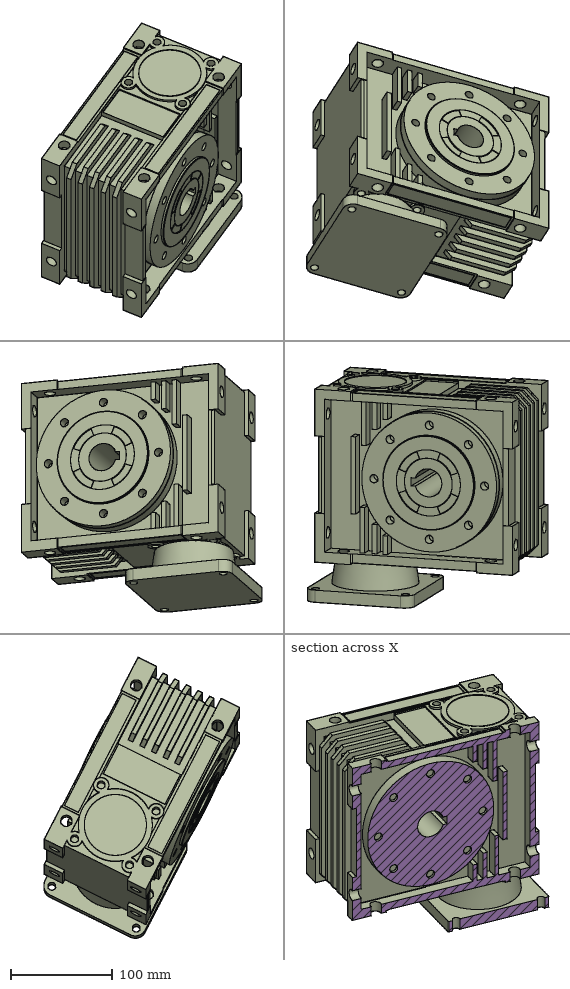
import cadquery as cq
import math


core_half_width = 35.6
core_front = -76.5
core_back = 115.3
core_low_bottom, core_low_top = -78.2, 76.5
core_high_bottom, core_high_top = -85.5, 83.5

rail_half_width = 55.5
rail_front, rail_back = -81.9, core_back
rail_bottom, rail_top = -86.8, 84.5
pocket_front, pocket_back = -76.0, 109.0
pocket_bottom, pocket_top = -77.5, 76.2
rail_panel_inner, rail_panel_outer = 38.5, 53.8
rail_panel_front, rail_panel_back = -46.7, 79.7
rail_panel_depth = 0.6
back_panel_front = 112.3
back_panel_half_height = 38.2
back_panel_depth = 0.2

pad_half_width = 56.2
pad_front, pad_back = -86.0, 119.2
pad_bottom, pad_top = -88.3, 86.0
pad_front_end, pad_back_end = -48.8, 82.0
pad_inner_z = 38.9
pad_step_bevel_front, pad_step_bevel_back = 0.9, 1.7
pad_hole_diameter = 11.2
pad_hole_x = 45.0
pad_hole_z = 59.8
pad_hole_ys = (-59.8, 92.9)

flange_radius = 70.0
flange_seat_radius = 69.5
flange_seam_x = 48.0
flange_face_x = 57.2
pilot_radius = 47.5
pilot_face_x = 60.0
pilot_chamfer = 0.6
bolt_circle_radius = 57.5
bolt_hole_diameter = 8.2
bolt_hole_depth = 13.0
bolt_count = 8

seal_outer_radius, seal_inner_radius = 33.3, 24.8
seal_depth = 0.2
seal_window_outer_radius, seal_window_inner_radius = 32.8, 25.3
seal_window_depth = 0.9
seal_window_span = 47.0
seal_window_angles = (45, 135, 225, 315)
bore_radius = 14.0
keyway_width = 8.2
keyway_reach = 17.7

rib_thickness = 4.8
centre_rib_y = 81.9
centre_rib_half_length = 38.9
upper_ribs = ((70.8, 30.7), (59.8, 47.5), (48.8, 58.3))
lower_ribs = ((72.5, -31.8), (59.8, -48.2), (48.8, -58.8))

fin_count = 5
fin_row_length = 51.5
fin_pitch = fin_row_length / (fin_count - 1)
fin_thickness = 5.0
fin_front = -85.3
fin_back = -9.0
fin_bottom, fin_top = -85.5, 83.5
fin_slope_length = 6.7
fin_chamfer = 11.7

input_y = 74.7
cover_radius = 36.5
cover_recess_radius = 30.7
cover_recess_depth = 0.9
ear_circle_radius = 42.5
ear_radius = 7.5
ear_hole_diameter = 7.8
ear_hole_depth = 8.6
ear_angle = 46.0
ear_count = 4
plate_half_width = 34.1
plate_back = 33.7
plate_depth = 1.5
cone_top_radius, cone_bottom_radius = 39.0, 43.0
motor_flange_top, motor_flange_bottom = -116.6, -129.0
motor_flange_size = 110.5
motor_flange_corner = 10.8
motor_hole_offset = 46.7
motor_hole_diameter = 7.8


def block(x0, x1, y0, y1, z0, z1):
    """Box between opposite corners, with each pair of limits in rising order."""
    return cq.Workplane("XY").box(x1 - x0, y1 - y0, z1 - z0, centered=False).translate((x0, y0, z0))


def disc_x(radius, x0, x1):
    """Cylinder on the output axis."""
    return cq.Workplane("YZ").workplane(offset=x0).circle(radius).extrude(x1 - x0)


def core():
    low = block(-core_half_width, core_half_width, core_front, core_back, core_low_bottom, core_low_top)
    high = block(-core_half_width, core_half_width, 0, core_back, core_high_bottom, core_high_top)
    plate = block(-plate_half_width, plate_half_width, 0, plate_back,
                  core_high_top - plate_depth, core_high_top)
    return low.union(high).cut(plate)


def fins():
    outline = [
        (fin_back, core_low_bottom),
        (fin_back - fin_slope_length, fin_bottom),
        (fin_front + fin_chamfer, fin_bottom),
        (fin_front, fin_bottom + fin_chamfer),
        (fin_front, fin_top - fin_chamfer),
        (fin_front + fin_chamfer, fin_top),
        (fin_back - fin_slope_length, fin_top),
        (fin_back, core_low_top),
    ]
    fin = cq.Workplane("YZ").polyline(outline).close().extrude(fin_thickness / 2, both=True)
    all_fins = cq.Workplane("XY")
    for i in range(fin_count):
        all_fins = all_fins.union(fin.translate((i * fin_pitch - fin_row_length / 2, 0, 0)))
    return all_fins


def pad_step_bevels():
    """Slanted steps from the pad faces down to the outer faces of the top and bottom rails."""
    step = pad_half_width - rail_half_width
    front = [(0, pad_front_end), (step, pad_front_end), (0, pad_front_end + pad_step_bevel_front)]
    back = [(0, pad_back_end), (step, pad_back_end), (0, pad_back_end - pad_step_bevel_back)]
    bevels = cq.Workplane("XY")
    for corner in (front, back):
        outline = [(rail_half_width + x, y) for x, y in corner]
        bevels = bevels.union(
            cq.Workplane("XY").workplane(offset=rail_bottom).polyline(outline).close()
            .extrude(rail_top - rail_bottom))
    return bevels


def frame():
    """Frame on the +X side: rails, corner pads, pocket and pad holes."""
    inner = core_half_width
    body = block(inner, rail_half_width, rail_front, rail_back, rail_bottom, rail_top)
    for y0, y1 in ((pad_front, pad_front_end), (pad_back_end, pad_back)):
        for z0, z1 in ((pad_bottom, -pad_inner_z), (pad_inner_z, pad_top)):
            body = body.union(block(inner, pad_half_width, y0, y1, z0, z1))
    body = body.union(pad_step_bevels())
    body = body.cut(block(inner, pad_half_width, pocket_front, pocket_back, pocket_bottom, pocket_top))

    for z0, z1 in ((rail_bottom, rail_bottom + rail_panel_depth), (rail_top - rail_panel_depth, rail_top)):
        body = body.cut(block(rail_panel_inner, rail_panel_outer, rail_panel_front, rail_panel_back, z0, z1))
    body = body.cut(block(rail_half_width - back_panel_depth, rail_half_width, back_panel_front, rail_back,
                          -back_panel_half_height, back_panel_half_height))

    vertical_holes = (cq.Workplane("XY").workplane(offset=pad_bottom)
                      .pushPoints([(pad_hole_x, y) for y in pad_hole_ys])
                      .circle(pad_hole_diameter / 2).extrude(pad_top - pad_bottom))
    cross_holes = (cq.Workplane("XZ", origin=(0, pad_back, 0))
                   .pushPoints([(pad_hole_x, -pad_hole_z), (pad_hole_x, pad_hole_z)])
                   .circle(pad_hole_diameter / 2).extrude(pad_back - pad_front))
    return body.cut(vertical_holes).cut(cross_holes)


def web_ribs():
    spans = [(centre_rib_y, -centre_rib_half_length, centre_rib_half_length)]
    spans += [(y, end, pocket_top) for y, end in upper_ribs]
    spans += [(y, pocket_bottom, end) for y, end in lower_ribs]
    ribs = cq.Workplane("XY")
    for y, z0, z1 in spans:
        ribs = ribs.union(block(core_half_width, flange_seam_x,
                                y - rib_thickness / 2, y + rib_thickness / 2, z0, z1))
    return ribs


def seal_window():
    """One arc-shaped window of the seal, centred on the +Y direction."""
    half = math.radians(seal_window_span / 2)

    def at(radius, angle):
        return (radius * math.cos(angle), radius * math.sin(angle))

    return (cq.Workplane("YZ").workplane(offset=pilot_face_x - seal_window_depth)
            .moveTo(*at(seal_window_inner_radius, -half))
            .lineTo(*at(seal_window_outer_radius, -half))
            .threePointArc(at(seal_window_outer_radius, 0), at(seal_window_outer_radius, half))
            .lineTo(*at(seal_window_inner_radius, half))
            .threePointArc(at(seal_window_inner_radius, 0), at(seal_window_inner_radius, -half))
            .close().extrude(seal_window_depth))


def output_flange():
    """Housing seat, flange, pilot and shaft seal on the +X side."""
    seat = disc_x(flange_seat_radius, core_half_width, flange_seam_x)
    flange = seat.union(disc_x(flange_radius, flange_seam_x, flange_face_x))
    pilot = disc_x(pilot_radius, flange_face_x, pilot_face_x).faces(">X").chamfer(pilot_chamfer)
    bolts = (cq.Workplane("YZ").workplane(offset=flange_face_x - bolt_hole_depth)
             .polarArray(bolt_circle_radius, 0, 360, bolt_count)
             .circle(bolt_hole_diameter / 2).extrude(bolt_hole_depth))
    seal = (cq.Workplane("YZ").workplane(offset=pilot_face_x - seal_depth)
            .circle(seal_outer_radius).circle(seal_inner_radius).extrude(seal_depth))
    body = flange.cut(bolts).union(pilot).cut(seal)
    for angle in seal_window_angles:
        body = body.cut(seal_window().rotate((0, 0, 0), (1, 0, 0), angle))
    return body


def output_bore():
    bore = disc_x(bore_radius, -pilot_face_x, pilot_face_x)
    keyway = block(-pilot_face_x, pilot_face_x, 0, keyway_reach, -keyway_width / 2, keyway_width / 2)
    return bore.union(keyway)


def input_cover(bottom, top):
    """Round cover with four bolt ears."""
    base = cq.Workplane("XY", origin=(0, input_y, bottom))
    thickness = top - bottom
    ears = (base.polarArray(ear_circle_radius, ear_angle, 360, ear_count)
            .circle(ear_radius).extrude(thickness))
    return base.circle(cover_radius).extrude(thickness).union(ears)


def ear_holes(bottom):
    return (cq.Workplane("XY", origin=(0, input_y, bottom))
            .polarArray(ear_circle_radius, ear_angle, 360, ear_count)
            .circle(ear_hole_diameter / 2).extrude(ear_hole_depth))


def motor_adaptor():
    height = pad_bottom - motor_flange_top
    cone = (cq.Workplane("XY", origin=(0, input_y, motor_flange_top))
            .circle(cone_bottom_radius).workplane(offset=height).circle(cone_top_radius).loft())
    hole_pitch = 2 * motor_hole_offset
    flange = (cq.Workplane("XY", origin=(0, input_y, motor_flange_bottom))
              .rect(motor_flange_size, motor_flange_size).extrude(motor_flange_top - motor_flange_bottom)
              .edges("|Z").fillet(motor_flange_corner)
              .faces(">Z").workplane().rect(hole_pitch, hole_pitch, forConstruction=True).vertices()
              .hole(motor_hole_diameter))
    return cone.union(flange)


result = core().union(fins())
for part in (frame(), web_ribs(), output_flange()):
    result = result.union(part).union(part.mirror("YZ"))

result = result.union(input_cover(core_low_top, pad_top))
result = result.union(input_cover(pad_bottom, core_low_bottom))
result = result.cut(ear_holes(pad_top - ear_hole_depth)).cut(ear_holes(pad_bottom))
cover_recess = (cq.Workplane("XY", origin=(0, input_y, pad_top))
                .circle(cover_recess_radius).extrude(-cover_recess_depth))
result = result.cut(cover_recess)
result = result.union(motor_adaptor()).cut(output_bore())